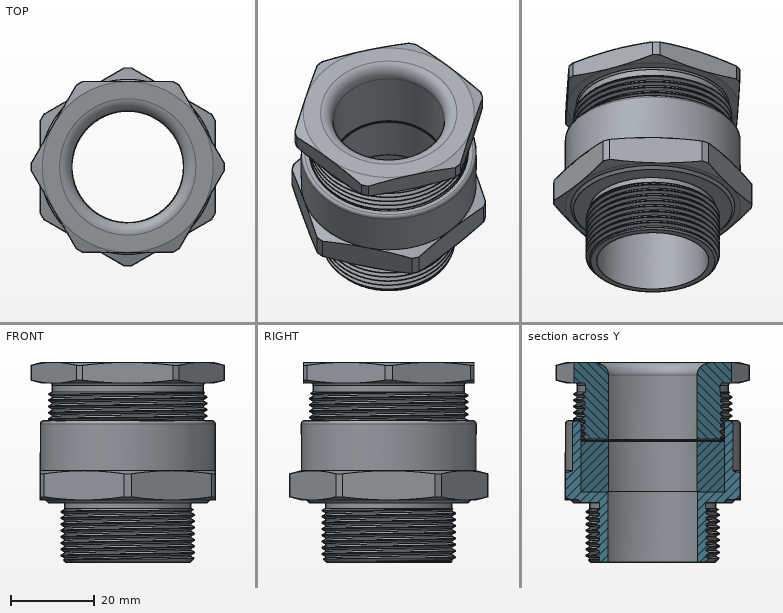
import cadquery as cq
import math


THREAD_TOP = 13.0
BODY_FOOT = 14.3
BODY_HEX_BOTTOM = 15.0
BODY_HEX_TOP = 22.0
BODY_TOP = 34.0
NUT_THREAD_TOP = 40.9
NUT_HEX_BOTTOM = 43.0
TOP = 48.0
NUT_END = 29.5
WASHER_THICKNESS = 0.25
SEAL_TOP = NUT_END - 2 * WASHER_THICKNESS
SEAL_LENGTH = 12.0
SEAL_BOTTOM = SEAL_TOP - SEAL_LENGTH

BODY_FLATS = 42.0
BODY_CORNERS = 47.5
BODY_HEX_TURN = 30.0
NUT_FLATS = 41.0
NUT_CORNERS = 46.35
NUT_HEX_TURN = 0.0
HEX_CHAMFER_ANGLE = 15.0

BODY_FOOT_DIAMETER = 38.0
BODY_THREAD = 32.0
NUT_THREAD = 38.0
NUT_BORE = 26.7
BODY_BORE = 26.9
WASHER_BORE = 26.9
SEAL_BORE = 26.7

PITCH = 1.5
THREAD_DEPTH = 0.8
NECK_DEPTH = 0.85
FLANK_ANGLE = 30.0
CREST_WIDTH = PITCH / 8
ROOT_WIDTH = PITCH - CREST_WIDTH - 2 * THREAD_DEPTH * math.tan(math.radians(FLANK_ANGLE))
CUTTER_OVERSHOOT = 0.05
THREAD_RUNOUT = 0.5
THREAD_START_CHAMFER = 1.1
NUT_END_CHAMFER = 1.0
BODY_GROOVE_START = -2.85
NUT_GROOVE_START = 28.4

COLLAR_FILLET = 0.8
MOUTH_CHAMFER = 0.15
FOOT_HEIGHT = BODY_HEX_BOTTOM - BODY_FOOT
NECK_FLARE = 0.25
NECK_FLARE_HEIGHT = 0.5
BORE_FILLET = 3.0


def cylinder(diameter, bottom, top):
    return cq.Workplane("XY").workplane(offset=bottom).circle(diameter / 2).extrude(top - bottom)


def cone(bottom_diameter, top_diameter, bottom, top):
    base = cq.Workplane("XY").workplane(offset=bottom).circle(bottom_diameter / 2)
    return base.workplane(offset=top - bottom).circle(top_diameter / 2).loft()


def hexagon(flats, corners, bottom, top, turn):
    """Hexagonal prism with trimmed corners and a shallow cone on both ends."""
    height = top - bottom
    diameter = flats / math.cos(math.pi / 6)
    prism = cq.Workplane("XY").workplane(offset=bottom).polygon(6, diameter).extrude(height)
    prism = prism.rotate((0, 0, 0), (0, 0, 1), turn)
    drop = (corners - flats) / 2 * math.tan(math.radians(HEX_CHAMFER_ANGLE))
    blank = (
        cq.Workplane("XZ")
        .moveTo(0, bottom)
        .lineTo(flats / 2, bottom)
        .lineTo(corners / 2, bottom + drop)
        .lineTo(corners / 2, top - drop)
        .lineTo(flats / 2, top)
        .lineTo(0, top)
        .close()
        .revolve(360, (0, 0, 0), (0, 1, 0))
    )
    return prism.intersect(blank)


def threaded_rod(diameter, bottom, top, groove_start, foot_chamfer):
    """Rod with a right-hand thread whose groove starts on the +X side at the given height."""
    rod = cylinder(diameter, bottom, top)
    rod = rod.faces("<Z").chamfer(foot_chamfer)
    rod = rod.faces(">Z").chamfer(THREAD_RUNOUT, NECK_DEPTH)
    root = diameter / 2 - THREAD_DEPTH
    reach = THREAD_DEPTH + CUTTER_OVERSHOOT
    half_root = ROOT_WIDTH / 2
    half_mouth = half_root + reach * math.tan(math.radians(FLANK_ANGLE))
    turns = math.ceil((top - groove_start) / PITCH) + 1
    helix = cq.Wire.makeHelix(PITCH, PITCH * turns, root).translate(cq.Vector(0, 0, groove_start))
    groove = (
        cq.Workplane("XZ")
        .moveTo(root, groove_start - half_root)
        .lineTo(root + reach, groove_start - half_mouth)
        .lineTo(root + reach, groove_start + half_mouth)
        .lineTo(root, groove_start + half_root)
        .close()
        .sweep(cq.Workplane(helix), isFrenet=True)
    )
    return rod.cut(groove)


def make_body():
    neck = BODY_THREAD - 2 * NECK_DEPTH
    stem = threaded_rod(BODY_THREAD, 0, THREAD_TOP, BODY_GROOVE_START, THREAD_START_CHAMFER)
    stem = stem.union(cylinder(neck, THREAD_TOP, BODY_FOOT))
    foot = cone(BODY_FOOT_DIAMETER, BODY_FOOT_DIAMETER + 2 * FOOT_HEIGHT, BODY_FOOT, BODY_HEX_BOTTOM)
    collar = cylinder(BODY_FLATS, BODY_HEX_TOP, BODY_TOP).faces(">Z").edges().fillet(COLLAR_FILLET)
    grip = hexagon(BODY_FLATS, BODY_CORNERS, BODY_HEX_BOTTOM, BODY_HEX_TOP, BODY_HEX_TURN)
    body = stem.union(foot).union(grip).union(collar)
    body = body.cut(cylinder(BODY_BORE, 0, BODY_TOP))
    body = body.cut(cylinder(NUT_THREAD, SEAL_BOTTOM, BODY_TOP))
    return body.faces(">Z").edges(cq.selectors.RadiusNthSelector(0)).chamfer(MOUTH_CHAMFER)


def make_gland_nut():
    neck = NUT_THREAD - 2 * NECK_DEPTH
    neck_top = NUT_HEX_BOTTOM - NECK_FLARE_HEIGHT
    shank = threaded_rod(NUT_THREAD, NUT_END, NUT_THREAD_TOP, NUT_GROOVE_START, NUT_END_CHAMFER)
    shank = shank.union(cylinder(neck, NUT_THREAD_TOP, neck_top))
    shank = shank.union(cone(neck, neck + 2 * NECK_FLARE, neck_top, NUT_HEX_BOTTOM))
    nut = shank.union(hexagon(NUT_FLATS, NUT_CORNERS, NUT_HEX_BOTTOM, TOP, NUT_HEX_TURN))
    nut = nut.cut(cylinder(NUT_BORE, NUT_END, TOP))
    return nut.faces(">Z").edges(cq.selectors.RadiusNthSelector(0)).fillet(BORE_FILLET)


def make_ring(bore, bottom, top):
    """Plain ring filling the socket of the body around its own bore."""
    return cylinder(NUT_THREAD, bottom, top).cut(cylinder(bore, bottom, top))


body = make_body()
gland_nut = make_gland_nut()
upper_washer = make_ring(WASHER_BORE, NUT_END - WASHER_THICKNESS, NUT_END)
lower_washer = make_ring(SEAL_BORE, SEAL_TOP, SEAL_TOP + WASHER_THICKNESS)
seal = make_ring(SEAL_BORE, SEAL_BOTTOM, SEAL_TOP)

solids = [body.val(), gland_nut.val(), upper_washer.val(), lower_washer.val(), seal.val()]
result = cq.Compound.makeCompound(solids)